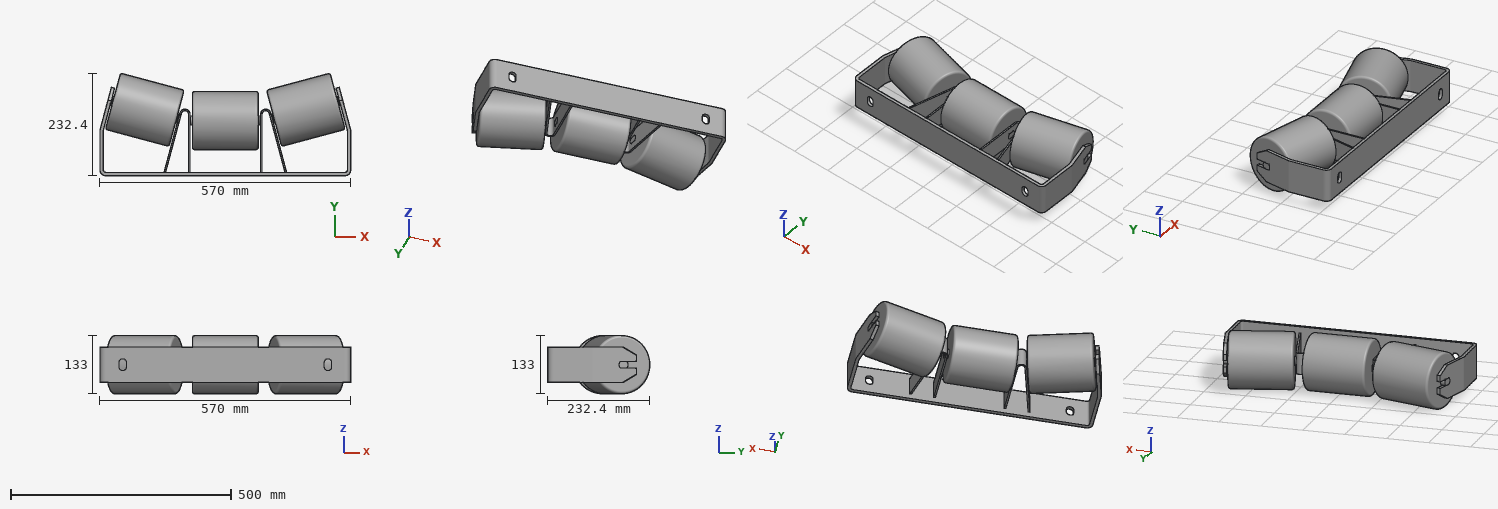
import cadquery as cq
import math

tilt = 15.0

frame_length = 570.0
frame_height = 80.0
frame_thickness = 8.0
frame_bend_radius = 13.5
arm_bend_y = 102.0
arm_length = 99.0
tip_height = 45.0
tip_taper_length = 30.0

mount_hole_x = 233.0
mount_hole_width = 17.0
mount_hole_height = 27.0

bracket_height = 50.0
bracket_thickness = 4.0
bracket_face_x = 80.0
bracket_bend_radius = 12.0
bracket_bend_y = 139.5

roller_diameter = 133.0
roller_length = 150.0
roller_edge_radius = 5.5
middle_roller_y = 125.5
side_roller_y = 150.0

shaft_diameter = 21.0
shaft_flat_width = 15.5
shoulder_gap = 1.0

sin_tilt = math.sin(math.radians(tilt))
cos_tilt = math.cos(math.radians(tilt))
half_length = frame_length / 2
frame_inner_bend = frame_bend_radius - frame_thickness
bracket_inner_bend = bracket_bend_radius - bracket_thickness
arm_bend_x = half_length - frame_bend_radius
bracket_bend_x = bracket_face_x + bracket_bend_radius


def along_tilt(x, y):
    """Position of a point measured along the tilted roller axis."""
    return x * cos_tilt + y * sin_tilt


leg_face = along_tilt(bracket_bend_x, bracket_bend_y) + bracket_bend_radius
arm_face = along_tilt(arm_bend_x, arm_bend_y) + frame_inner_bend
side_half_gap = (arm_face - leg_face) / 2
side_roller_x = ((leg_face + arm_face) / 2 - side_roller_y * sin_tilt) / cos_tilt

middle_plane = cq.Plane(origin=(0, middle_roller_y, 0))
side_plane = cq.Plane(
    origin=(side_roller_x, side_roller_y, 0), xDir=(cos_tilt, sin_tilt, 0), normal=(0, 0, 1)
)


def arc_point(center_x, center_y, radius, angle):
    """Point on a circle, with the angle in degrees from +X."""
    return (
        center_x + radius * math.cos(math.radians(angle)),
        center_y + radius * math.sin(math.radians(angle)),
    )


def mirrored(body):
    """Copy of a body on the -X side."""
    return body.mirror("YZ")


def flatted_bar(start, end):
    """Shaft end with two flats, lying along local X from start to end."""
    bar = cq.Workplane("YZ", origin=(start, 0, 0)).circle(shaft_diameter / 2).extrude(end - start)
    between_flats = cq.Workplane("XY").box(
        2 * (abs(start) + abs(end)), shaft_diameter, shaft_flat_width
    )
    return bar.intersect(between_flats)


def placed(body, plane):
    """Body moved from local coordinates onto a roller plane."""
    return cq.Workplane(body.val().moved(cq.Location(plane)))


def frame_blank():
    """Bent strip: base, two upright arms and their leaning ends."""
    corner_x = half_length - frame_bend_radius
    corner_y = frame_bend_radius
    inner_x = half_length - frame_thickness
    arm_outer = arc_point(arm_bend_x, arm_bend_y, frame_bend_radius, tilt)
    arm_inner = arc_point(arm_bend_x, arm_bend_y, frame_inner_bend, tilt)
    run_x = -arm_length * sin_tilt
    run_y = arm_length * cos_tilt
    half = (
        cq.Workplane("XY", origin=(0, 0, -frame_height / 2))
        .moveTo(0, 0)
        .lineTo(corner_x, 0)
        .threePointArc(arc_point(corner_x, corner_y, frame_bend_radius, -45), (half_length, corner_y))
        .lineTo(half_length, arm_bend_y)
        .threePointArc(arc_point(arm_bend_x, arm_bend_y, frame_bend_radius, tilt / 2), arm_outer)
        .line(run_x, run_y)
        .lineTo(arm_inner[0] + run_x, arm_inner[1] + run_y)
        .lineTo(*arm_inner)
        .threePointArc(
            arc_point(arm_bend_x, arm_bend_y, frame_inner_bend, tilt / 2), (inner_x, arm_bend_y)
        )
        .lineTo(inner_x, corner_y)
        .threePointArc(arc_point(corner_x, corner_y, frame_inner_bend, -45), (corner_x, frame_thickness))
        .lineTo(0, frame_thickness)
        .close()
        .extrude(frame_height)
    )
    return half.union(mirrored(half))


def arm_cutters():
    """Cutters for the +X arm end: the two tapers, and the open shaft slot."""
    arm_start = (arm_bend_y - side_roller_y) * cos_tilt - (arm_bend_x - side_roller_x) * sin_tilt
    tip = arm_start + arm_length
    start = side_half_gap
    end = start + frame_thickness
    tapers = (
        cq.Workplane("YZ", origin=(start, 0, 0))
        .polyline([
            (tip, tip_height / 2),
            (tip, frame_height / 2),
            (tip - tip_taper_length, frame_height / 2),
        ])
        .close()
        .extrude(frame_thickness)
    )
    tapers = tapers.union(tapers.mirror("XY"))
    slot = (
        cq.Workplane("XY")
        .box(frame_thickness, tip, shaft_flat_width, centered=(False, False, True))
        .translate((start, 0, 0))
        .union(flatted_bar(start, end))
    )
    return placed(tapers, side_plane), placed(slot, side_plane)


def make_frame():
    frame = frame_blank()
    for cutter in arm_cutters():
        frame = frame.cut(cutter).cut(mirrored(cutter))
    mount_holes = (
        cq.Workplane("XZ")
        .pushPoints([(-mount_hole_x, 0), (mount_hole_x, 0)])
        .slot2D(mount_hole_height, mount_hole_width, 90)
        .extrude(-frame_thickness)
    )
    return frame.cut(mount_holes)


def make_bracket():
    """Hairpin bracket on the +X side, with a flatted hole in each leg."""
    foot_y = frame_thickness
    crown_angle = (180 + tilt) / 2
    inner_x = bracket_face_x + bracket_thickness
    leg_outer = arc_point(bracket_bend_x, bracket_bend_y, bracket_bend_radius, tilt)
    leg_inner = arc_point(bracket_bend_x, bracket_bend_y, bracket_inner_bend, tilt)
    slope = sin_tilt / cos_tilt
    foot_outer_x = leg_outer[0] + (leg_outer[1] - foot_y) * slope
    foot_inner_x = leg_inner[0] + (leg_inner[1] - foot_y) * slope
    bracket = (
        cq.Workplane("XY", origin=(0, 0, -bracket_height / 2))
        .moveTo(bracket_face_x, foot_y)
        .lineTo(bracket_face_x, bracket_bend_y)
        .threePointArc(
            arc_point(bracket_bend_x, bracket_bend_y, bracket_bend_radius, crown_angle), leg_outer
        )
        .lineTo(foot_outer_x, foot_y)
        .lineTo(foot_inner_x, foot_y)
        .lineTo(*leg_inner)
        .threePointArc(
            arc_point(bracket_bend_x, bracket_bend_y, bracket_inner_bend, crown_angle),
            (inner_x, bracket_bend_y),
        )
        .lineTo(inner_x, foot_y)
        .close()
        .extrude(bracket_height)
    )
    middle_hole = placed(flatted_bar(bracket_face_x, inner_x), middle_plane)
    side_hole = placed(flatted_bar(-side_half_gap - bracket_thickness, -side_half_gap), side_plane)
    return bracket.cut(middle_hole).cut(side_hole)


def make_roller(plane, half_gap, left_support, right_support):
    """Roller and shaft; the flatted ends fill the thickness of each support."""
    drum = (
        cq.Workplane("YZ", origin=(-roller_length / 2, 0, 0))
        .circle(roller_diameter / 2)
        .extrude(roller_length)
        .edges()
        .fillet(roller_edge_radius)
    )
    half_round = half_gap - shoulder_gap
    shaft = (
        cq.Workplane("YZ", origin=(-half_round, 0, 0))
        .circle(shaft_diameter / 2)
        .extrude(2 * half_round)
    )
    left_end = flatted_bar(-half_gap - left_support, -half_round)
    right_end = flatted_bar(half_round, half_gap + right_support)
    return placed(drum.union(shaft).union(left_end).union(right_end), plane)


frame = make_frame()

right_bracket = make_bracket()
brackets = [mirrored(right_bracket), right_bracket]

middle_roller = make_roller(middle_plane, bracket_face_x, bracket_thickness, bracket_thickness)
right_roller = make_roller(side_plane, side_half_gap, bracket_thickness, frame_thickness)
rollers = [mirrored(right_roller), middle_roller, right_roller]

result = cq.Compound.makeCompound([body.solids().val() for body in [frame, *brackets, *rollers]])